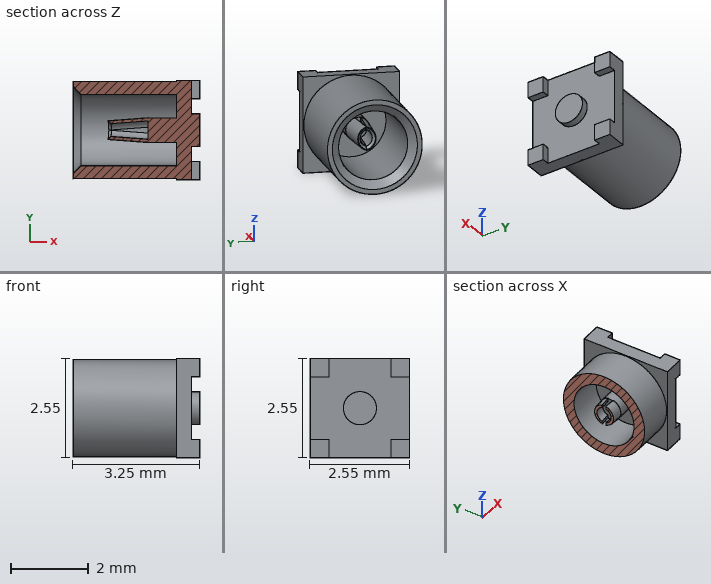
import cadquery as cq
import math

total_length = 3.25
flange_side = 2.55
flange_thickness = 0.6
flange_front = total_length - flange_thickness

barrel_diameter = 2.5
bore_diameter = 1.82
mouth_diameter = 2.24
mouth_depth = 0.2

recess_width = 1.6
recess_depth = 0.21
tail_diameter = 0.85

contact_diameter = 0.636
contact_tip = 0.92
finger_length = 1.0
finger_overlap = 0.03
finger_root = contact_tip + finger_length
slot_width = 0.15
socket_diameter = 0.46
socket_mouth_diameter = 0.6
socket_mouth_depth = 0.07


def rod(diameter, start, end):
    """Cylinder along X between two positions."""
    return cq.Workplane("YZ", origin=(start, 0, 0)).circle(diameter / 2).extrude(end - start)


def cone(start_diameter, end_diameter, start, end):
    """Truncated cone along X between two positions."""
    profile = [
        (start, 0),
        (start, start_diameter / 2),
        (end, end_diameter / 2),
        (end, 0),
    ]
    return cq.Workplane("XY").polyline(profile).close().revolve(360, (0, 0, 0), (1, 0, 0))


def make_barrel():
    barrel = rod(barrel_diameter, 0, flange_front)
    bore = rod(bore_diameter, 0, flange_front)
    mouth = cone(mouth_diameter, bore_diameter, 0, mouth_depth)
    return barrel.cut(bore).cut(mouth)


def make_flange():
    flange = cq.Workplane("YZ", origin=(flange_front, 0, 0)).rect(flange_side, flange_side)
    flange = flange.extrude(flange_thickness)
    recess_floor = total_length - recess_depth
    recess_plane = cq.Workplane("YZ", origin=(recess_floor, 0, 0))
    across_y = recess_plane.rect(flange_side, recess_width).extrude(recess_depth)
    across_z = recess_plane.rect(recess_width, flange_side).extrude(recess_depth)
    tail = rod(tail_diameter, flange_front, total_length)
    return flange.cut(across_y).cut(across_z).union(tail)


def make_finger(side):
    """Contact finger on the +Y (side = 1) or -Y (side = -1) side, leaning to the axis."""
    finger_end = finger_root + finger_overlap
    finger = rod(contact_diameter, contact_tip, finger_end)
    finger = finger.cut(rod(socket_diameter, contact_tip, finger_end))
    socket_mouth_end = contact_tip + socket_mouth_depth
    finger = finger.cut(cone(socket_mouth_diameter, socket_diameter, contact_tip, socket_mouth_end))
    keep_length = finger_end - contact_tip
    keep_centre = (contact_tip + keep_length / 2, side * (slot_width + contact_diameter) / 2, 0)
    keep = cq.Workplane("XY").box(keep_length, contact_diameter, contact_diameter)
    finger = finger.intersect(keep.translate(keep_centre))
    lean_angle = math.degrees(math.asin(slot_width / 2 / finger_length))
    return finger.rotate((finger_root, 0, 0), (finger_root, 0, 1), side * lean_angle)


def make_contact():
    contact = rod(contact_diameter, finger_root, flange_front)
    for side in (1, -1):
        contact = contact.union(make_finger(side))
    return contact


result = make_flange().union(make_barrel()).union(make_contact())